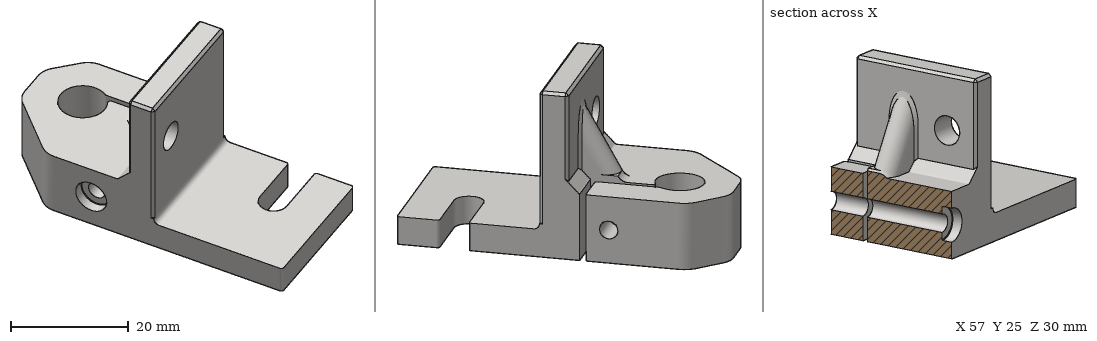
import cadquery as cq
import math

LENGTH = 57.0
WIDTH = 25.0
HEIGHT = 30.0
BASE_HEIGHT = 5.0
BLOCK_HEIGHT = 12.0
EDGE_BREAK = 0.5
SMALL_ROUND = 0.45
EDGE_TOLERANCE = 0.05

REAR_BEVEL = 6.0
FRONT_BEVEL = 11.0
NOSE_ROUND = 4.0

WALL_LEFT = 27.0
WALL_RIGHT = 32.05
WALL_BEVEL = 2.0
INNER_ROUND = 1.0
WALL_HOLE_Y = 6.0
WALL_HOLE_Z = 20.0
CLEARANCE_DIAMETER = 5.2

AXIS_Y = 15.0
BORE_X = 10.0
BORE_DIAMETER = 8.5
SLIT_Y = 17.5
SLIT_WIDTH = 0.9
GAP_X = 23.95
GAP_WIDTH = 1.0
SCREW_X = 19.9
SCREW_Z = BLOCK_HEIGHT / 2
SCREW_DIAMETER = 3.2
HEAD_DIAMETER = 6.0
HEAD_DEPTH = 2.0
HEAD_CHAMFER = 0.1

SLOT_X = 46.95

RIB_WIDTH = 2 * (SLIT_Y - AXIS_Y)
RIB_FOOT_X = 19.6
RIB_ANGLE = math.radians(60)
RIB_FOOT_ROUND = 2.0
RIB_ROUND = 2.48
RIB_ROOT_Z = BLOCK_HEIGHT / 2
WALL_BLEND = 0.5


def make_base():
    """Plan outline trimmed by the side profile of block, bevel and plate."""
    plan = (
        cq.Workplane("XY")
        .polyline([
            (0, FRONT_BEVEL), (FRONT_BEVEL, 0), (LENGTH, 0),
            (LENGTH, WIDTH), (REAR_BEVEL, WIDTH), (0, WIDTH - REAR_BEVEL),
        ])
        .close()
        .extrude(HEIGHT)
    )
    plan = plan.edges("|Z and >X").fillet(EDGE_BREAK)
    nose = cq.selectors.BoxSelector(
        (-EDGE_TOLERANCE, -EDGE_TOLERANCE, 0),
        (FRONT_BEVEL + EDGE_TOLERANCE, WIDTH + EDGE_TOLERANCE, HEIGHT),
    )
    plan = plan.edges("|Z").edges(nose).fillet(NOSE_ROUND)
    core_left = WALL_LEFT + EDGE_BREAK
    core_right = WALL_RIGHT - EDGE_BREAK
    bevel_top = BLOCK_HEIGHT + WALL_BEVEL + EDGE_BREAK
    bevel_start = WALL_LEFT - WALL_BEVEL
    profile = (
        cq.Workplane("XZ")
        .polyline([(bevel_start, BLOCK_HEIGHT), (0, BLOCK_HEIGHT), (0, 0), (LENGTH, 0),
                   (LENGTH, BASE_HEIGHT), (WALL_RIGHT + INNER_ROUND, BASE_HEIGHT)])
        .radiusArc((WALL_RIGHT, BASE_HEIGHT + INNER_ROUND), INNER_ROUND)
        .lineTo(core_right, BASE_HEIGHT + INNER_ROUND)
        .lineTo(core_right, bevel_top)
        .lineTo(core_left, bevel_top)
        .close()
        .extrude(-WIDTH)
    )
    bevel_foot = cq.selectors.BoxSelector(
        (bevel_start - EDGE_TOLERANCE, 0, BLOCK_HEIGHT - EDGE_TOLERANCE),
        (bevel_start + EDGE_TOLERANCE, WIDTH, BLOCK_HEIGHT + EDGE_TOLERANCE),
    )
    profile = profile.edges(bevel_foot).fillet(EDGE_BREAK)
    return plan.intersect(profile)


def make_wall():
    """Upright wall with its upright and top edges chamfered."""
    wall = cq.Workplane("XY").box(
        WALL_RIGHT - WALL_LEFT, WIDTH, HEIGHT - BASE_HEIGHT, centered=False
    ).translate((WALL_LEFT, 0, BASE_HEIGHT))
    return wall.edges("|Z or >Z").chamfer(EDGE_BREAK)


def make_rib():
    """Rib with a rounded back that flares into the block at its foot."""
    slope = math.tan(RIB_ANGLE)
    tangent = RIB_FOOT_ROUND * math.tan(RIB_ANGLE / 2)
    foot_x = RIB_FOOT_X - tangent
    arc_mid = (
        foot_x + RIB_FOOT_ROUND * math.sin(RIB_ANGLE / 2),
        BLOCK_HEIGHT + RIB_FOOT_ROUND * (1 - math.cos(RIB_ANGLE / 2)),
    )
    arc_end = (
        RIB_FOOT_X + tangent * math.cos(RIB_ANGLE),
        BLOCK_HEIGHT + tangent * math.sin(RIB_ANGLE),
    )
    inside_x = (WALL_LEFT + WALL_RIGHT) / 2
    top_z = BLOCK_HEIGHT + (inside_x - RIB_FOOT_X) * slope
    rib = (
        cq.Workplane("XZ", origin=(0, SLIT_Y, 0))
        .moveTo(foot_x, RIB_ROOT_Z)
        .lineTo(foot_x, BLOCK_HEIGHT)
        .threePointArc(arc_mid, arc_end)
        .lineTo(inside_x, top_z)
        .lineTo(inside_x, RIB_ROOT_Z)
        .close()
        .extrude(RIB_WIDTH)
    )
    back = cq.selectors.BoxSelector(
        (foot_x + EDGE_TOLERANCE, 0, BLOCK_HEIGHT + EDGE_TOLERANCE),
        (inside_x - EDGE_TOLERANCE, WIDTH, top_z),
    )
    rib = rib.edges("not |Y").edges(back).fillet(RIB_ROUND)
    flare = (
        cq.Workplane("XZ", origin=(0, SLIT_Y, 0))
        .moveTo(foot_x, BLOCK_HEIGHT)
        .threePointArc(arc_mid, arc_end)
        .lineTo(inside_x, arc_end[1])
        .lineTo(inside_x, BLOCK_HEIGHT)
        .close()
        .extrude(RIB_WIDTH / 2)
    )
    return rib, flare


def make_ribbed_wall():
    """Wall joined to the rib, with a bevelled seam between them."""
    rib, flare = make_rib()
    ribbed_wall = make_wall().union(rib)
    seam = cq.selectors.BoxSelector(
        (WALL_LEFT - EDGE_TOLERANCE, AXIS_Y - RIB_WIDTH / 2 - EDGE_TOLERANCE, RIB_ROOT_Z + EDGE_TOLERANCE),
        (WALL_LEFT + EDGE_TOLERANCE, SLIT_Y + EDGE_TOLERANCE, HEIGHT - 2 * EDGE_BREAK),
    )
    ribbed_wall = ribbed_wall.edges(seam).chamfer(WALL_BLEND)
    return ribbed_wall.union(flare)


result = make_base().union(make_ribbed_wall())

bore = cq.Workplane("XY").center(BORE_X, AXIS_Y).circle(BORE_DIAMETER / 2).extrude(HEIGHT)
slit = cq.Workplane("XY").box(
    GAP_X + GAP_WIDTH - BORE_X, SLIT_WIDTH, HEIGHT, centered=False
).translate((BORE_X, SLIT_Y, 0))
gap = cq.Workplane("XY").box(
    GAP_WIDTH, WIDTH - SLIT_Y, HEIGHT, centered=False
).translate((GAP_X, SLIT_Y, 0))
result = result.cut(bore.union(slit).union(gap))

screw = cq.Workplane("XZ", origin=(SCREW_X, 0, SCREW_Z)).circle(SCREW_DIAMETER / 2).extrude(-WIDTH)
head = cq.Workplane("XZ", origin=(SCREW_X, 0, SCREW_Z)).circle(HEAD_DIAMETER / 2).extrude(-HEAD_DEPTH)
head = head.faces(">Y").chamfer(HEAD_CHAMFER)
result = result.cut(screw).cut(head)

wall_hole = (
    cq.Workplane("YZ", origin=(WALL_LEFT, WALL_HOLE_Y, WALL_HOLE_Z))
    .circle(CLEARANCE_DIAMETER / 2)
    .extrude(WALL_RIGHT - WALL_LEFT)
)
result = result.cut(wall_hole)

slot_end = cq.Workplane("XY").center(SLOT_X, AXIS_Y).circle(CLEARANCE_DIAMETER / 2).extrude(BASE_HEIGHT)
slot = cq.Workplane("XY").box(
    CLEARANCE_DIAMETER, WIDTH - AXIS_Y, BASE_HEIGHT, centered=(True, False, False)
).translate((SLOT_X, AXIS_Y, 0))
result = result.cut(slot.union(slot_end))


def round_upright(solid, x, y):
    """Round the vertical edge standing at a plan position."""
    at = cq.selectors.BoxSelector(
        (x - EDGE_TOLERANCE, y - EDGE_TOLERANCE, 0),
        (x + EDGE_TOLERANCE, y + EDGE_TOLERANCE, HEIGHT),
    )
    return solid.edges("|Z").edges(at).fillet(SMALL_ROUND)


bore_radius = BORE_DIAMETER / 2
slit_top = SLIT_Y + SLIT_WIDTH
lower_entry_x = BORE_X + math.sqrt(bore_radius**2 - (SLIT_Y - AXIS_Y) ** 2)
upper_entry_x = BORE_X + math.sqrt(bore_radius**2 - (slit_top - AXIS_Y) ** 2)
for corner_x, corner_y in [
    (SLOT_X - CLEARANCE_DIAMETER / 2, WIDTH),
    (SLOT_X + CLEARANCE_DIAMETER / 2, WIDTH),
    (GAP_X, WIDTH),
    (GAP_X, slit_top),
    (lower_entry_x, SLIT_Y),
    (upper_entry_x, slit_top),
]:
    result = round_upright(result, corner_x, corner_y)